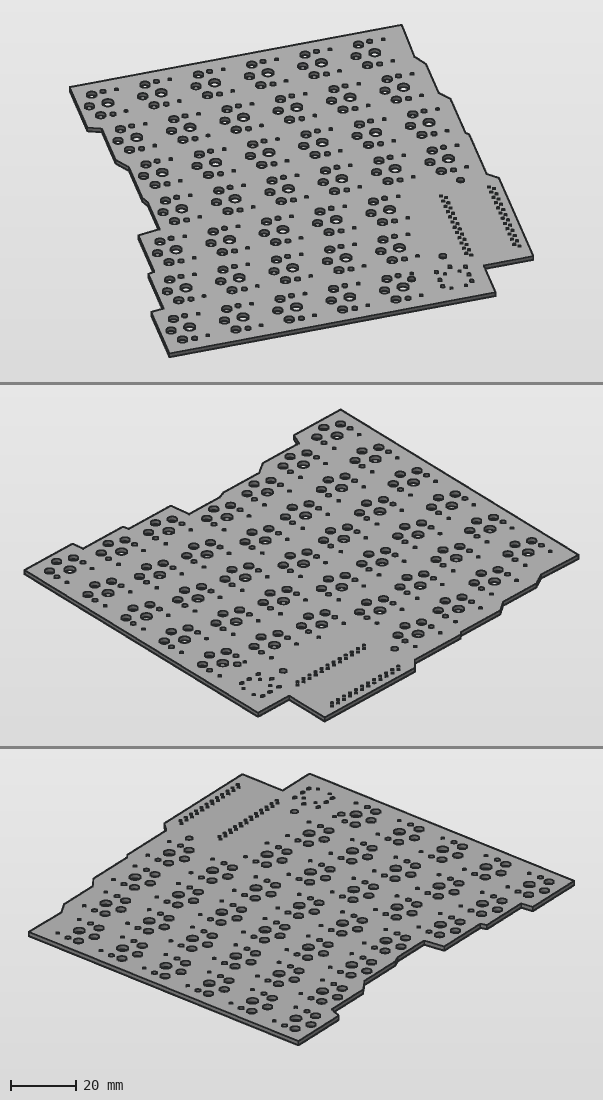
import cadquery as cq

width = 128.5
depth = 119.6
thickness = 1.5

most_rows = 6
row_span = 85.0
row_pitch = row_span / (most_rows - 1)
column_pitch = 18.0
first_column_x = 10.3
columns = [(14.4, most_rows), (18.4, most_rows), (21.3, most_rows), (22.4, most_rows)]
columns += [(15.4, most_rows - 1), (13.4, most_rows - 1), (9.4, most_rows - 1)]

stem_diameter = 3.5
contact_diameter = 3.0
contact_drop = 5.9
side_contact_offset = 5.0
side_contact_drop = 3.7
peg_diameter = 1.7
peg_offset = 5.5
diode_diameter = 0.99
diode_offset = 5.3
diode_rise = 4.2

header_pin_diameter = 0.8
header_pin_count = 12
header_length = 28.0
header_pin_pitch = header_length / (header_pin_count - 1)
header_first_pin_x = 80.5
header_rows_y = [100.2, 115.5]
header_shift_x = 1.2
header_shift_y = 1.3

jack_axis_y = 93.7
jack_slot_length = 1.4
jack_slot_width = 0.99
jack_slots_x = [114.4, 118.2, 121.3]
jack_slot_offset = 4.6
jack_end_slot_x = 113.1
jack_pin_diameter = 0.81
jack_pins_x = [115.9, 122.8]
jack_pin_offset = 2.3

mount_diameter = 2.2
mount_points = [(74.9, 108.1), (107.7, 93.0), (115.4, 80.8)]

upper_edge = [
    (0, 110.9),
    (15.4, 110.5),
    (19.8, 113.0),
    (33.8, 113.0),
    (37.5, 115.6),
    (54.1, 115.6),
    (55.1, 116.5),
    (74.4, 116.5),
    (77.2, depth),
    (115.4, depth),
    (115.4, 103.8),
    (width, 103.8),
]
lower_edge = [
    (width, 0),
    (108.2, 0),
    (107.7, 4.1),
    (90.8, 4.1),
    (90.3, 6.2),
    (72.6, 6.2),
    (71.6, 13.2),
    (58.7, 13.2),
    (56.2, 12.2),
    (41.1, 12.2),
    (36.8, 9.3),
    (21.5, 9.3),
    (19.8, 5.1),
    (0, 5.1),
]


def drill(board, points, diameter):
    """Cut round through holes at the given points."""
    return board.cut(cq.Workplane("XY").pushPoints(points).circle(diameter / 2).extrude(thickness))


def offset_points(centres, offsets):
    """Repeat a pattern of offsets around every centre."""
    return [(x + dx, y + dy) for x, y in centres for dx, dy in offsets]


board = cq.Workplane("XY").polyline(upper_edge + lower_edge).close().extrude(thickness)

key_centres = [
    (first_column_x + column * column_pitch, lowest_y + row * row_pitch)
    for column, (lowest_y, key_count) in enumerate(columns)
    for row in range(key_count)
]
contact_offsets = [
    (0, -contact_drop),
    (-side_contact_offset, -side_contact_drop),
    (side_contact_offset, -side_contact_drop),
]
peg_offsets = [(-peg_offset, 0), (peg_offset, 0)]
diode_offsets = [(-diode_offset, diode_rise), (diode_offset, diode_rise)]
board = drill(board, key_centres, stem_diameter)
board = drill(board, offset_points(key_centres, contact_offsets), contact_diameter)
board = drill(board, offset_points(key_centres, peg_offsets), peg_diameter)
board = drill(board, offset_points(key_centres, diode_offsets), diode_diameter)

header_pins = [
    (header_first_pin_x + pin * header_pin_pitch, row_y)
    for row_y in header_rows_y
    for pin in range(header_pin_count)
]
header_copies = [(0, 0), (header_shift_x, header_shift_y)]
board = drill(board, offset_points(header_pins, header_copies), header_pin_diameter)

jack_slots = [(x, jack_axis_y + side * jack_slot_offset) for x in jack_slots_x for side in (-1, 1)]
jack_slots.append((jack_end_slot_x, jack_axis_y))
jack_pins = [(x, jack_axis_y + side * jack_pin_offset) for x in jack_pins_x for side in (-1, 1)]
slot_cutter = cq.Workplane("XY").pushPoints(jack_slots).slot2D(jack_slot_length, jack_slot_width)
board = board.cut(slot_cutter.extrude(thickness))
board = drill(board, jack_pins, jack_pin_diameter)

result = drill(board, mount_points, mount_diameter)